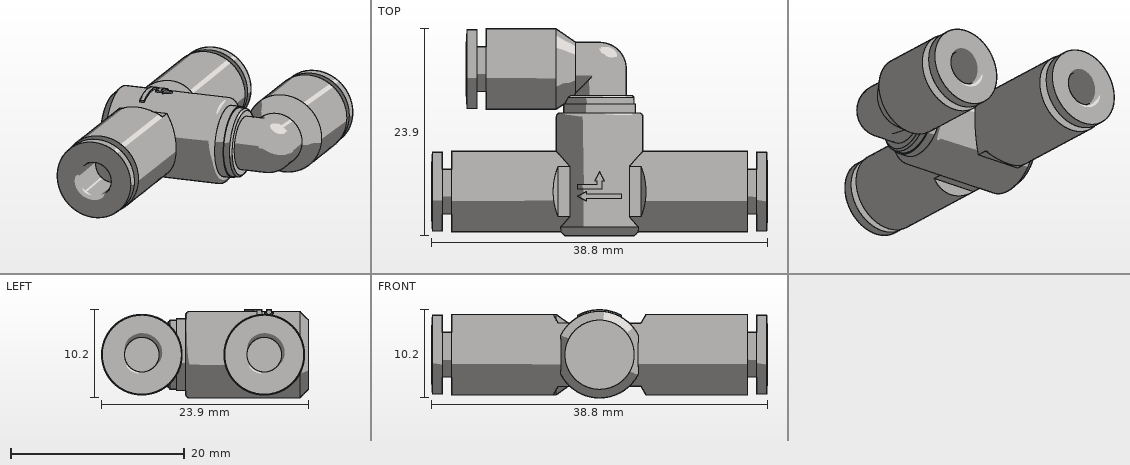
import cadquery as cq

half_length = 19.4
barrel_dia = 10.0
barrel_radius = barrel_dia / 2
barrel_front = -5.12
barrel_back = 9.08
nose_dia = 8.0
nose_chamfer = (barrel_dia - nose_dia) / 2
barrel_back_round = 0.45

sleeve_dia = 9.3
sleeve_radius = sleeve_dia / 2
neck_dia = 5.2
button_dia = 9.1
button_length = 1.28
neck_length = 1.05
button_rim_dia = 5.35
button_crown = 0.1
bore_dia = 4.0
bore_depth = 5.82
bore_mouth_round = (neck_dia - bore_dia) / 2

elbow_y = 14.12
elbow_end_x = -15.4
elbow_radius = 3.1
cone_start_x = -2.75
cone_end_x = -5.0
collar_dia = 8.3
collar_end = 10.13
step_dia = 8.0
step_end = 11.1
step_chamfer = 0.25

relief_height = 3.65
relief_floor_x = 4.77
relief_top_x = 5.35

arrow_height = 0.2
arrow_radius = barrel_radius + arrow_height
arrow_left = -2.55
arrow_head_half_width = 0.55
arrow_head_length = 1.05
arrow_shaft_half_width = 0.27
straight_arrow_y = -0.55
straight_arrow_right = 2.52
bent_arrow_y = 0.55
bent_arrow_tip_y = 2.3


def cylinder_x(start, end, dia, y=0.0):
    """Cylinder along X between two X positions."""
    return cq.Workplane("YZ", origin=(start, 0, 0)).center(y, 0).circle(dia / 2).extrude(end - start)


def cylinder_y(start, end, dia):
    """Cylinder along Y, centred on the Y axis."""
    return cq.Workplane("XZ", origin=(0, start, 0)).circle(dia / 2).extrude(start - end)


def release_button(end_x, button_back, y):
    """Disc whose outer face rises as a shallow cone to a flat rim around the bore."""
    return (
        cq.Workplane("XY", origin=(0, y, 0))
        .polyline([
            (end_x, 0),
            (end_x, button_rim_dia / 2),
            (end_x + button_crown, button_dia / 2),
            (button_back, button_dia / 2),
            (button_back, 0),
        ])
        .close()
        .revolve(360, (0, 0, 0), (1, 0, 0))
    )


def left_port(end_x, sleeve_inner_x, y):
    """Port opening towards -X: sleeve, neck, release button and rounded bore."""
    button_back = end_x + button_length
    sleeve_end = button_back + neck_length
    button = release_button(end_x, button_back, y)
    neck = cylinder_x(button_back, sleeve_end, neck_dia, y)
    sleeve = cylinder_x(sleeve_end, sleeve_inner_x, sleeve_dia, y)
    bore = cylinder_x(end_x, end_x + bore_depth, bore_dia, y)
    port = button.union(neck).union(sleeve).cut(bore)
    mouth = cq.selectors.RadiusNthSelector(0)
    return port.faces("<X").edges(mouth).fillet(bore_mouth_round)


def make_run():
    """Two opposed ports with flat-floored reliefs above and below."""
    port = left_port(-half_length, 0, 0)
    run = port.union(port.mirror("YZ"))
    relief = (
        cq.Workplane("XZ")
        .polyline([
            (-relief_floor_x, relief_height),
            (relief_floor_x, relief_height),
            (relief_top_x, sleeve_radius),
            (-relief_top_x, sleeve_radius),
        ])
        .close()
        .extrude(sleeve_radius, both=True)
    )
    return run.cut(relief).cut(relief.mirror("XY"))


def make_barrel():
    barrel = cylinder_y(barrel_front, barrel_back, barrel_dia)
    barrel = barrel.faces("<Y").chamfer(nose_chamfer)
    return barrel.faces(">Y").edges().fillet(barrel_back_round)


def make_elbow():
    """Stepped collar, round elbow and the port it carries."""
    collar = cylinder_y(barrel_back, collar_end, collar_dia)
    step = cylinder_y(collar_end, step_end, step_dia).faces(">Y").chamfer(step_chamfer)
    stem = cylinder_y(step_end, elbow_y, 2 * elbow_radius)
    corner = (
        cq.Workplane("XZ", origin=(0, elbow_y, 0))
        .moveTo(0, -elbow_radius)
        .threePointArc((elbow_radius, 0), (0, elbow_radius))
        .close()
        .revolve(90, (0, 0, 0), (0, 1, 0))
    )
    arm = cylinder_x(cone_start_x, 0, 2 * elbow_radius, elbow_y)
    cone = (
        cq.Workplane("XY", origin=(0, elbow_y, 0))
        .polyline([
            (cone_start_x, 0),
            (cone_start_x, elbow_radius),
            (cone_end_x, sleeve_radius),
            (cone_end_x, 0),
        ])
        .close()
        .revolve(360, (0, 0, 0), (1, 0, 0))
    )
    port = left_port(elbow_end_x, cone_end_x, elbow_y)
    elbow = collar
    for piece in (step, stem, corner, arm, cone, port):
        elbow = elbow.union(piece)
    return elbow


def make_arrows():
    """Straight and bent arrows raised concentrically from the top of the barrel."""
    head_x = arrow_left + arrow_head_length
    straight = [
        (arrow_left, 0),
        (head_x, arrow_head_half_width),
        (head_x, arrow_shaft_half_width),
        (straight_arrow_right, arrow_shaft_half_width),
        (straight_arrow_right, -arrow_shaft_half_width),
        (head_x, -arrow_shaft_half_width),
        (head_x, -arrow_head_half_width),
    ]
    tip_y = bent_arrow_tip_y - bent_arrow_y
    head_y = tip_y - arrow_head_length
    bent = [
        (arrow_left, -arrow_shaft_half_width),
        (arrow_left, arrow_shaft_half_width),
        (-arrow_shaft_half_width, arrow_shaft_half_width),
        (-arrow_shaft_half_width, head_y),
        (-arrow_head_half_width, head_y),
        (0, tip_y),
        (arrow_head_half_width, head_y),
        (arrow_shaft_half_width, head_y),
        (arrow_shaft_half_width, -arrow_shaft_half_width),
    ]
    prisms = cq.Workplane("XY")
    for outline, y in ((straight, straight_arrow_y), (bent, bent_arrow_y)):
        prism = cq.Workplane("XY", origin=(0, y, 0)).polyline(outline).close().extrude(arrow_radius)
        prisms = prisms.add(prism)
    shell = cylinder_y(barrel_front, barrel_back, 2 * arrow_radius)
    return prisms.combine().intersect(shell)


result = make_run().union(make_barrel()).union(make_elbow()).union(make_arrows())